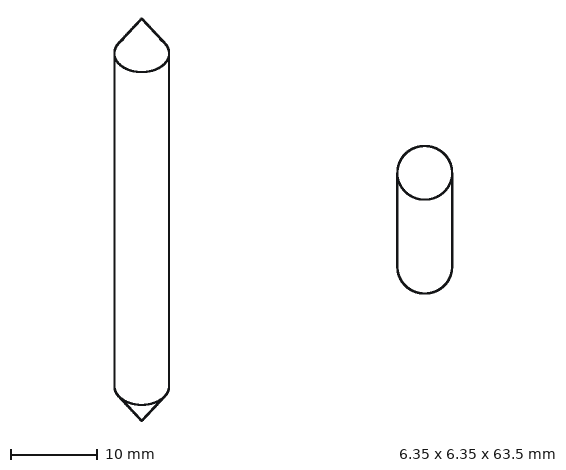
import cadquery as cq
import math

length = 63.5
diameter = 6.35
point_angle = 60.0

radius = diameter / 2
half_length = length / 2
point_height = radius / math.tan(math.radians(point_angle / 2))
shoulder_z = half_length - point_height

result = (
    cq.Workplane("XZ")
    .moveTo(0, -half_length)
    .lineTo(radius, -shoulder_z)
    .lineTo(radius, shoulder_z)
    .lineTo(0, half_length)
    .close()
    .revolve(360, (0, 0, 0), (0, 1, 0))
)